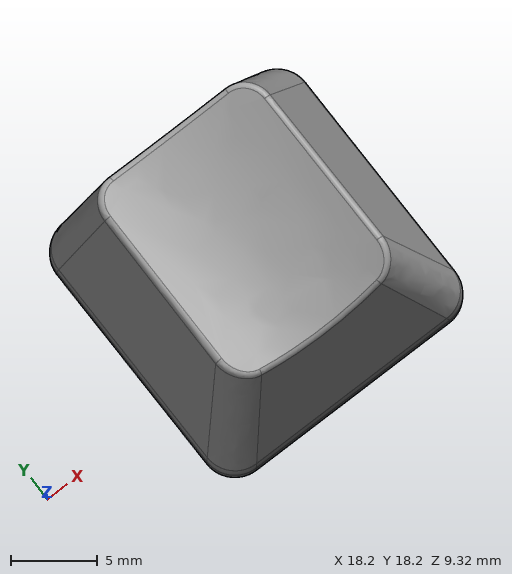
import cadquery as cq

base_side = 18.16
base_corner_radius = 2.03
bend_start_z = 0.73
bend_end_z = 1.29

body_top = 9.8
top_half_width = 5.77
top_front_y = -5.6
top_corner_radius = 1.89
top_back_y = 8.3

dish_back_low_z = 8.77
dish_back_radius = 27.24
dish_front_low_z = 7.97
dish_front_radius = 16.16
dish_half_width = 10.9
dish_rim_radius = 0.36
cutter_top = 16.35


def wall_lean(z):
    """Relative inward lean at height z: zero on the skirt, linear above the bend."""
    if z <= bend_start_z:
        return 0
    if z >= bend_end_z:
        return z - (bend_start_z + bend_end_z) / 2
    return (z - bend_start_z) ** 2 / (2 * (bend_end_z - bend_start_z))


def body_outline(z):
    """Rounded rectangle of the outer walls at height z; the bend is a parabola."""
    lean = wall_lean(z) / wall_lean(body_top)
    half = base_side / 2
    half_width = half + lean * (top_half_width - half)
    front_y = -half + lean * (top_front_y + half)
    back_y = half + lean * (top_back_y - half)
    radius = base_corner_radius + lean * (top_corner_radius - base_corner_radius)
    outline = cq.Sketch().rect(2 * half_width, back_y - front_y).vertices().fillet(radius)
    return outline.moved(cq.Location(cq.Vector(0, (front_y + back_y) / 2, z)))


def loft_walls(heights):
    """Solid running through the body outlines at the given heights."""
    sections = [body_outline(z) for z in heights]
    return cq.Workplane("XY").placeSketch(*sections).loft()


def make_body():
    """Upright skirt, curved bend and straight taper joined into one solid."""
    skirt = loft_walls([0, bend_start_z])
    bend = loft_walls([bend_start_z, (bend_start_z + bend_end_z) / 2, bend_end_z])
    taper = loft_walls([bend_end_z, body_top])
    return skirt.union(bend).union(taper)


def dish_profile(y, low_z, radius):
    """Closed wire in the XZ plane at y, with the dish arc as its lower side."""
    rise = radius - (radius**2 - dish_half_width**2) ** 0.5
    end_z = low_z + rise
    return (
        cq.Workplane("XZ", origin=(0, y, 0))
        .moveTo(-dish_half_width, end_z)
        .threePointArc((0, low_z), (dish_half_width, end_z))
        .lineTo(dish_half_width, cutter_top)
        .lineTo(-dish_half_width, cutter_top)
        .close()
        .val()
    )


def make_dish_cutter():
    """Ruled solid that hollows the top, deeper towards the front."""
    back = dish_profile(base_side / 2, dish_back_low_z, dish_back_radius)
    front = dish_profile(-base_side / 2, dish_front_low_z, dish_front_radius)
    return cq.Workplane(cq.Solid.makeLoft([back, front], True))


body = make_body().cut(make_dish_cutter())

dish_face = body.faces(cq.selectors.NearestToPointSelector((0, 0, body_top)))
result = dish_face.edges().fillet(dish_rim_radius)